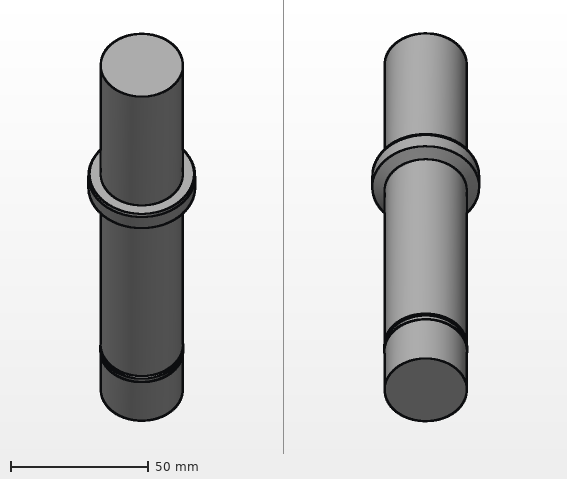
import cadquery as cq

total_length = 183.3
shaft_diameter = 30.0

collar_diameter = 39.0
collar_top = 121.8
collar_height = 9.5
collar_top_inset = 0.5
collar_top_bevel_height = 1.2
collar_taper_height = 2.0

groove_diameter = 23.4
groove_top = 25.3
groove_width = 1.3
band_diameter = 30.3
band_bottom = 22.0


def cylinder(diameter, bottom, top):
    """Solid cylinder about the Z axis between two heights."""
    return cq.Workplane("XY").workplane(offset=bottom).circle(diameter / 2).extrude(top - bottom)


def make_collar():
    """Collar with a small bevel on top and a long taper down to the shaft."""
    shaft_radius = shaft_diameter / 2
    collar_radius = collar_diameter / 2
    collar_bottom = collar_top - collar_height
    profile = [
        (0, collar_bottom),
        (shaft_radius, collar_bottom),
        (collar_radius, collar_bottom + collar_taper_height),
        (collar_radius, collar_top - collar_top_bevel_height),
        (collar_radius - collar_top_inset, collar_top),
        (0, collar_top),
    ]
    return cq.Workplane("XZ").polyline(profile).close().revolve(360, (0, 0, 0), (0, 1, 0))


def make_shaft():
    """Shaft cut by the groove, with a slightly wider band below it."""
    groove_bottom = groove_top - groove_width
    tip = cylinder(shaft_diameter, 0, band_bottom)
    band = cylinder(band_diameter, band_bottom, groove_bottom)
    neck = cylinder(groove_diameter, groove_bottom, groove_top)
    upper = cylinder(shaft_diameter, groove_top, total_length)
    return tip.union(band).union(neck).union(upper)


result = make_shaft().union(make_collar())